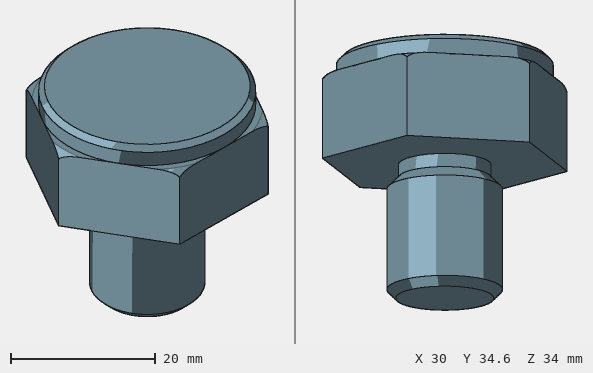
import cadquery as cq
import math

across_flats = 30.0
across_corners = across_flats / math.cos(math.radians(30))
hex_height = 12.0
hex_flat_top_diameter = 32.0
corner_rounding_radius = 1.5

cap_diameter = across_flats
cap_height = 3.0
cap_chamfer = 0.8

shank_diameter = 16.0
shank_length = 19.0
tip_chamfer = 1.227
neck_diameter = 12.8
neck_length = 1.875
neck_taper_length = (shank_diameter - neck_diameter) / 2


def make_hex_head():
    """Hexagon with corners on the Y axis and its top corners rounded in a ring."""
    prism = (
        cq.Workplane("XY")
        .polygon(6, across_corners)
        .extrude(hex_height)
        .rotate((0, 0, 0), (0, 0, 1), 30)
    )
    envelope_radius = hex_flat_top_diameter / 2 + corner_rounding_radius
    envelope = (
        cq.Workplane("XY")
        .circle(envelope_radius)
        .extrude(hex_height)
        .faces(">Z")
        .edges()
        .fillet(corner_rounding_radius)
    )
    return prism.intersect(envelope)


def make_cap():
    """Disc on the hexagon with a chamfered top rim."""
    return (
        cq.Workplane("XY")
        .workplane(offset=hex_height)
        .circle(cap_diameter / 2)
        .extrude(cap_height)
        .faces(">Z")
        .chamfer(cap_chamfer)
    )


def make_shank():
    """Turned shank: neck under the head, taper, full diameter, chamfered tip."""
    shank_radius = shank_diameter / 2
    neck_radius = neck_diameter / 2
    return (
        cq.Workplane("XZ")
        .moveTo(0, 0)
        .lineTo(neck_radius, 0)
        .lineTo(neck_radius, -neck_length)
        .lineTo(shank_radius, -neck_length - neck_taper_length)
        .lineTo(shank_radius, -shank_length + tip_chamfer)
        .lineTo(shank_radius - tip_chamfer, -shank_length)
        .lineTo(0, -shank_length)
        .close()
        .revolve(360, (0, 0, 0), (0, 1, 0))
    )


result = make_hex_head().union(make_cap()).union(make_shank())